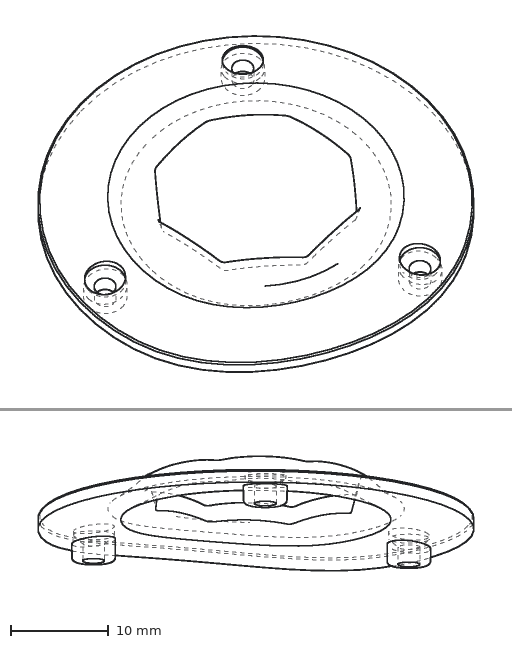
import cadquery as cq
import math

RIM_RADIUS = 22.35
RIM_TOP = 2.77
FLANGE_THICKNESS = 1.35
FLANGE_RISE = 0.12
RIM_CHAMFER = 0.2
UNDERSIDE_FOOT_RADIUS = 13.85

WAVE_HEIGHT = 1.4
WAVE_CENTRE = -53
WAVE_HALF_WIDTH = 58
WAVE_START_RADIUS = 7.6

FOOT_RADIUS = 15.2
FOOT_BEND_WIDTH = 0.55
FOOT_BEND_RISE = 0.25
SHOULDER_RADIUS = 13.2
SHOULDER_Z = 5.1
CROWN_RADIUS = 9.4
CROWN_Z = 7.0
SHOULDER_DIRECTION = (-1, 0.9)
CROWN_DIRECTION = (-1, 0)
UNDERSIDE_Z = 5.0

OPENING_SIDES = 8
OPENING_RADIUS = 10.75
OPENING_BASE_Z = 3.58
OPENING_TAPER = 12
OPENING_ANGLE = -2.5
OPENING_CORNER_FILLET = 1.0
OPENING_EDGE_FILLET = 0.55
CROWN_EDGE_FLOOR_Z = 5.15

BOSS_COUNT = 3
BOSS_RADIUS = 2.25
BOSS_CIRCLE_RADIUS = 18.7
BOSS_START_ANGLE = -10.6
BOSS_TOP_Z = 2.7
BOSS_EDGE_FILLET = 0.35
HOLE_RADIUS = 1.1
SINK_RADIUS = 2.1
SINK_FLOOR_Z = 1.85
SINK_TOP_Z = 2.75


def wave_lift(radius, angle):
    """Lift of the flange at a place given by radius and angle in radians."""
    offset = math.degrees(angle) - WAVE_CENTRE
    offset = (offset + 180) % 360 - 180
    if abs(offset) >= WAVE_HALF_WIDTH:
        return 0
    share = (radius - WAVE_START_RADIUS) / (RIM_RADIUS - WAVE_START_RADIUS)
    return WAVE_HEIGHT * share * (1 + math.cos(math.pi * offset / WAVE_HALF_WIDTH)) / 2


def wavy_edge(radius, rise):
    """Closed wavy edge at the given radius and height above the flange top."""
    level = RIM_TOP + FLANGE_RISE * (RIM_RADIUS - radius) + rise
    point_count = 72
    points = []
    for i in range(point_count):
        angle = 2 * math.pi * i / point_count
        x = radius * math.cos(angle)
        y = radius * math.sin(angle)
        points.append(cq.Vector(x, y, level + wave_lift(radius, angle)))
    return cq.Edge.makeSpline(points, periodic=True)


def level_edge(radius, z):
    return cq.Edge.makeCircle(radius, cq.Vector(0, 0, z))


def make_flange_and_dome_wall():
    """Closed skin of bands, each spanning two neighbouring rings of the section."""
    shoulder = level_edge(SHOULDER_RADIUS, SHOULDER_Z)
    shoulder_inside = level_edge(CROWN_RADIUS, SHOULDER_Z)
    underside = level_edge(CROWN_RADIUS, UNDERSIDE_Z)
    outline = [
        underside,
        wavy_edge(UNDERSIDE_FOOT_RADIUS, -FLANGE_THICKNESS),
        wavy_edge(RIM_RADIUS, -FLANGE_THICKNESS),
        wavy_edge(RIM_RADIUS, -RIM_CHAMFER),
        wavy_edge(RIM_RADIUS - RIM_CHAMFER, 0),
        wavy_edge(FOOT_RADIUS, 0),
        wavy_edge(FOOT_RADIUS - FOOT_BEND_WIDTH, FOOT_BEND_RISE),
        shoulder,
    ]
    faces = []
    for lower, upper in zip(outline, outline[1:]):
        faces.append(cq.Face.makeRuledSurface(lower, upper))
    faces.append(cq.Face.makeRuledSurface(shoulder_inside, underside))
    shoulder_wire = cq.Wire.assembleEdges([shoulder])
    inside_wire = cq.Wire.assembleEdges([shoulder_inside])
    faces.append(cq.Face.makeFromWires(shoulder_wire, [inside_wire]))
    skin = cq.Solid.makeSolid(cq.Shell.makeShell(faces))
    return cq.Workplane(skin.fix())


def make_crown():
    return (
        cq.Workplane("XZ")
        .moveTo(SHOULDER_RADIUS, SHOULDER_Z)
        .spline(
            [(CROWN_RADIUS, CROWN_Z)],
            tangents=[SHOULDER_DIRECTION, CROWN_DIRECTION],
            includeCurrent=True,
        )
        .lineTo(CROWN_RADIUS, SHOULDER_Z)
        .close()
        .revolve(360, (0, 0), (0, 1))
    )


def make_opening():
    cutter_height = CROWN_Z
    side_spread = cutter_height * math.tan(math.radians(OPENING_TAPER))
    top_radius = OPENING_RADIUS + side_spread / math.cos(math.pi / OPENING_SIDES)
    return (
        cq.Workplane("XY")
        .workplane(offset=OPENING_BASE_Z)
        .polygon(OPENING_SIDES, 2 * OPENING_RADIUS)
        .workplane(offset=cutter_height)
        .polygon(OPENING_SIDES, 2 * top_radius)
        .loft(ruled=True)
        .edges("not #Z")
        .fillet(OPENING_CORNER_FILLET)
        .rotate((0, 0, 0), (0, 0, 1), OPENING_ANGLE)
    )


def make_boss():
    return (
        cq.Workplane("XY")
        .circle(BOSS_RADIUS)
        .extrude(BOSS_TOP_Z)
        .faces("<Z")
        .edges()
        .fillet(BOSS_EDGE_FILLET)
    )


def make_screw_hole():
    hole = cq.Workplane("XY").circle(HOLE_RADIUS).extrude(SINK_TOP_Z)
    sink = (
        cq.Workplane("XY")
        .workplane(offset=SINK_FLOOR_Z)
        .circle(HOLE_RADIUS)
        .workplane(offset=SINK_TOP_Z - SINK_FLOOR_Z)
        .circle(SINK_RADIUS)
        .loft()
    )
    clearance = cq.Workplane("XY").workplane(offset=SINK_TOP_Z).circle(SINK_RADIUS).extrude(SINK_TOP_Z)
    return hole.union(sink).union(clearance)


def place_around(shape, index):
    angle = BOSS_START_ANGLE + index * 360 / BOSS_COUNT
    return shape.translate((BOSS_CIRCLE_RADIUS, 0, 0)).rotate((0, 0, 0), (0, 0, 1), angle)


body = make_flange_and_dome_wall().union(make_crown()).cut(make_opening())
upper_opening_edges = cq.selectors.BoxSelector(
    (-SHOULDER_RADIUS, -SHOULDER_RADIUS, CROWN_EDGE_FLOOR_Z),
    (SHOULDER_RADIUS, SHOULDER_RADIUS, CROWN_Z),
    boundingbox=True,
)
body = body.edges(upper_opening_edges).fillet(OPENING_EDGE_FILLET)
for i in range(BOSS_COUNT):
    body = body.union(place_around(make_boss(), i))
for i in range(BOSS_COUNT):
    body = body.cut(place_around(make_screw_hole(), i))

result = body